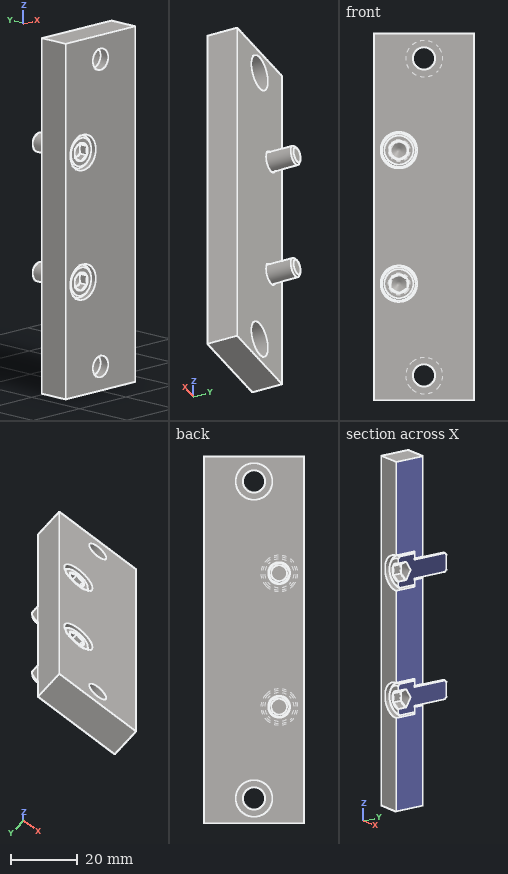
import cadquery as cq
import math

PLATE_WIDTH = 30.0
PLATE_THICKNESS = 10.0
PLATE_HEIGHT = 110.0

MOUNT_HOLE_SPACING = 95.0

SCREW_EDGE_DISTANCE = 7.5
SCREW_SPACING = 40.0
SCREW_PROTRUSION = 8.8
SHANK_DIAMETER = 6.0
TIP_CHAMFER = 0.7
HEAD_DIAMETER = 10.0
HEAD_HEIGHT = 6.0
HEAD_CHAMFER = 0.7

SOCKET_ACROSS_FLATS = 5.0
SOCKET_DEPTH = 3.0
SOCKET_CONE_ANGLE = 120.0
SOCKET_ROTATION = 30.0

HOLE_DIAMETER = 6.6
COUNTERBORE_DIAMETER = 11.0
COUNTERBORE_DEPTH = 6.8

screw_x = -PLATE_WIDTH / 2 + SCREW_EDGE_DISTANCE
screw_positions = [(screw_x, side * SCREW_SPACING / 2) for side in (-1, 1)]
mount_positions = [(0, side * MOUNT_HOLE_SPACING / 2) for side in (-1, 1)]
rear_counterbore_y = PLATE_THICKNESS - COUNTERBORE_DEPTH
head_front_y = COUNTERBORE_DEPTH - HEAD_HEIGHT
tip_y = PLATE_THICKNESS + SCREW_PROTRUSION
socket_corner_diameter = SOCKET_ACROSS_FLATS / math.cos(math.pi / 6)


def plane_at(x, y, z):
    """Plane facing +Y, so that positive extrusions run into the plate."""
    return cq.Workplane(cq.Plane(origin=(x, y, z), xDir=(1, 0, 0), normal=(0, 1, 0)))


def cylinder(x, y, z, diameter, length):
    """Cylinder along +Y that starts at the given point."""
    return plane_at(x, y, z).circle(diameter / 2).extrude(length)


def make_plate():
    plate = cq.Workplane("XY").box(PLATE_WIDTH, PLATE_THICKNESS, PLATE_HEIGHT)
    plate = plate.translate((0, PLATE_THICKNESS / 2, 0))
    for x, z in mount_positions:
        plate = plate.cut(cylinder(x, 0, z, HOLE_DIAMETER, PLATE_THICKNESS))
        plate = plate.cut(cylinder(x, rear_counterbore_y, z, COUNTERBORE_DIAMETER, COUNTERBORE_DEPTH))
    for x, z in screw_positions:
        plate = plate.cut(cylinder(x, 0, z, HOLE_DIAMETER, PLATE_THICKNESS))
        plate = plate.cut(cylinder(x, 0, z, COUNTERBORE_DIAMETER, COUNTERBORE_DEPTH))
    return plate


def make_socket_cone(x, y, z):
    """Cone over the hexagon corners, narrowing along +Y."""
    corner_radius = socket_corner_diameter / 2
    height = corner_radius / math.tan(math.radians(SOCKET_CONE_ANGLE / 2))
    return cq.Workplane(cq.Solid.makeCone(corner_radius, 0, height, cq.Vector(x, y, z), cq.Vector(0, 1, 0)))


def make_socket_cutter(x, z):
    """Hexagonal prism ending in a cone, with a conical lead-in at its mouth."""
    hexagon = plane_at(x, head_front_y, z).polygon(6, socket_corner_diameter).extrude(SOCKET_DEPTH)
    hexagon = hexagon.rotate((x, 0, z), (x, 1, z), SOCKET_ROTATION)
    lead_in = make_socket_cone(x, head_front_y, z)
    bottom = make_socket_cone(x, head_front_y + SOCKET_DEPTH, z)
    return hexagon.union(lead_in).union(bottom)


def make_screw(x, z):
    head = cylinder(x, head_front_y, z, HEAD_DIAMETER, HEAD_HEIGHT)
    head = head.faces("<Y").edges().chamfer(HEAD_CHAMFER)
    shank = cylinder(x, COUNTERBORE_DEPTH, z, SHANK_DIAMETER, tip_y - COUNTERBORE_DEPTH)
    shank = shank.faces(">Y").edges().chamfer(TIP_CHAMFER)
    return head.union(shank).cut(make_socket_cutter(x, z))


plate = make_plate()
screws = [make_screw(x, z) for x, z in screw_positions]

result = cq.Compound.makeCompound([plate.val(), *[screw.val() for screw in screws]])